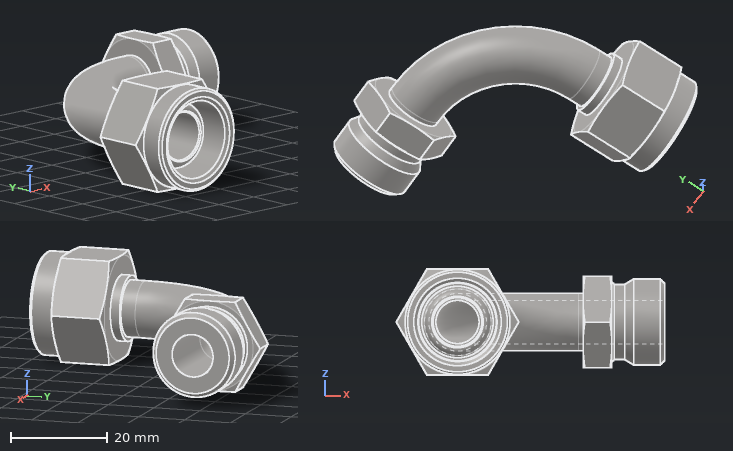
import cadquery as cq
import math


tube_radius = 6.0
bore_radius = 4.5
bend_radius = 25.0
bend_start_y = 21.5
stud_axis_y = bend_start_y + bend_radius

hex_sides = 6
hex_chamfer_angle = 15

nut_across_flats = 22.0
nut_length = 16.45
nut_hex_start = 5.0
nut_sleeve_radius = 10.85
nut_sleeve_chamfer = 0.5
nut_bore_radius = 8.2
nut_mouth_radius = 9.1
nut_mouth_depth = 0.5
nut_wall = 2.3

collar_radius = 6.9
collar_end_y = 18.45
flange_radius = 8.05
flange_length = 2.9
flange_back_y = nut_length - nut_wall
flange_front_y = flange_back_y - flange_length
nose_radius = 7.4
nose_tip_y = 4.65
nose_rim_radius = 5.35
nose_round = 1.6
nose_taper_angle = 8
nose_bore_radius = 5.05
nose_bore_end_y = collar_end_y

stud_across_flats = 19.0
stud_hex_start = 26.05
stud_hex_end = 32.0
neck_start = 32.5
neck_end = 34.65
thread_start = 36.55
stud_end = 43.0
neck_radius = 7.8
thread_radius = 8.95
thread_chamfer = 1.0


def revolve_about_y(points):
    """Solid of revolution from (radius, y) points."""
    return cq.Workplane("XY").polyline(points).close().revolve(360, (0, 0, 0), (0, 1, 0))


def chamfered_hex(across_flats, start_y, end_y):
    """Hexagonal prism along Y, corners on X, with both ends turned down to the flats."""
    flat_radius = across_flats / 2
    corner_radius = flat_radius / math.cos(math.pi / hex_sides)
    drop = (corner_radius - flat_radius) * math.tan(math.radians(hex_chamfer_angle))
    prism = (
        cq.Workplane("XZ", origin=(0, start_y, 0))
        .polygon(hex_sides, 2 * corner_radius)
        .extrude(start_y - end_y)
    )
    turned = revolve_about_y([
        (0, start_y),
        (flat_radius, start_y),
        (corner_radius, start_y + drop),
        (corner_radius, end_y - drop),
        (flat_radius, end_y),
        (0, end_y),
    ])
    return prism.intersect(turned)


def make_nut():
    """Swivel nut with a round sleeve at its mouth and a back wall that closes on the collar."""
    sleeve = revolve_about_y([
        (0, 0),
        (nut_sleeve_radius - nut_sleeve_chamfer, 0),
        (nut_sleeve_radius, nut_sleeve_chamfer),
        (nut_sleeve_radius, nut_hex_start),
        (0, nut_hex_start),
    ])
    cavity = revolve_about_y([
        (0, 0),
        (nut_mouth_radius, 0),
        (nut_bore_radius, nut_mouth_depth),
        (nut_bore_radius, flange_back_y),
        (collar_radius, flange_back_y),
        (collar_radius, nut_length),
        (0, nut_length),
    ])
    return chamfered_hex(nut_across_flats, nut_hex_start, nut_length).union(sleeve).cut(cavity)


def sweep_along_bend(radius):
    """Round bar of the given radius that follows the quarter bend."""
    path = cq.Workplane("XY").moveTo(0, bend_start_y).radiusArc((bend_radius, stud_axis_y), bend_radius)
    return cq.Workplane("XZ", origin=(0, bend_start_y, 0)).circle(radius).sweep(path)


def make_nose_end():
    """Straight tube end with its collar, flange and a tapered nose that ends in a round."""
    taper = math.radians(nose_taper_angle)
    middle = (math.pi / 2 + taper) / 2

    def on_nose_round(angle):
        return (
            nose_rim_radius + nose_round * math.cos(angle),
            nose_tip_y + nose_round * (1 - math.sin(angle)),
        )

    round_end_radius, round_end_y = on_nose_round(taper)
    taper_end_y = round_end_y + (nose_radius - round_end_radius) / math.tan(taper)
    return (
        cq.Workplane("XY")
        .moveTo(0, nose_tip_y)
        .lineTo(nose_rim_radius, nose_tip_y)
        .threePointArc(on_nose_round(middle), (round_end_radius, round_end_y))
        .lineTo(nose_radius, taper_end_y)
        .lineTo(nose_radius, flange_front_y)
        .lineTo(flange_radius, flange_front_y)
        .lineTo(flange_radius, flange_back_y)
        .lineTo(collar_radius, flange_back_y)
        .lineTo(collar_radius, collar_end_y)
        .lineTo(tube_radius, collar_end_y)
        .lineTo(tube_radius, bend_start_y)
        .lineTo(0, bend_start_y)
        .close()
        .revolve(360, (0, 0, 0), (0, 1, 0))
    )


def to_stud_axis(body):
    """Move a body built along +Y so that it lies along +X on the stud axis."""
    return body.rotate((0, 0, 0), (0, 0, 1), -90).translate((0, stud_axis_y, 0))


def make_stud_end():
    """Tube end, hexagon, neck and thread body of the male stud."""
    root_radius = neck_radius + neck_start - stud_hex_end
    turned = revolve_about_y([
        (0, bend_radius),
        (tube_radius, bend_radius),
        (tube_radius, stud_hex_end),
        (root_radius, stud_hex_end),
        (neck_radius, neck_start),
        (neck_radius, neck_end),
        (thread_radius, thread_start),
        (thread_radius, stud_end - thread_chamfer),
        (thread_radius - thread_chamfer, stud_end),
        (0, stud_end),
    ])
    return to_stud_axis(turned.union(chamfered_hex(stud_across_flats, stud_hex_start, stud_hex_end)))


def make_bore():
    """Through passage: the wider bore of the nose end, the bend and the stud run."""
    rim_chamfer = nose_rim_radius - nose_bore_radius
    nose_run = revolve_about_y([
        (0, nose_tip_y),
        (nose_rim_radius, nose_tip_y),
        (nose_bore_radius, nose_tip_y + rim_chamfer),
        (nose_bore_radius, nose_bore_end_y),
        (bore_radius, nose_bore_end_y),
        (bore_radius, bend_start_y),
        (0, bend_start_y),
    ])
    stud_run = revolve_about_y([
        (0, bend_radius),
        (bore_radius, bend_radius),
        (bore_radius, stud_end),
        (0, stud_end),
    ])
    return nose_run.union(sweep_along_bend(bore_radius)).union(to_stud_axis(stud_run))


def make_elbow():
    """One-piece elbow from the nose to the male stud."""
    outside = make_nose_end().union(sweep_along_bend(tube_radius)).union(make_stud_end())
    return outside.cut(make_bore())


nut = make_nut()
elbow = make_elbow()

result = cq.Compound.makeCompound([*nut.solids().vals(), *elbow.solids().vals()])